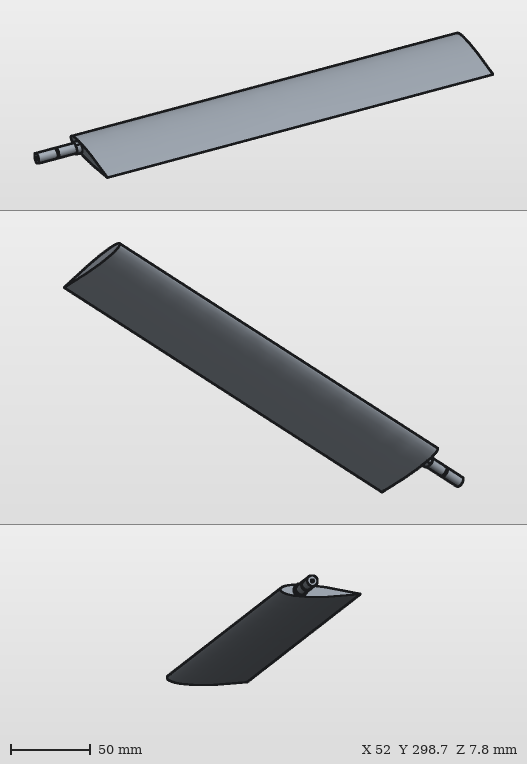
import cadquery as cq
import math

overall_length = 298.7
shaft_length = 30.0
blade_length = overall_length - shaft_length
chord = 52.0
blade_thickness = 7.8
profile_steps = 16

shaft_x = 12.5
shaft_diameter = 7.0
collar_diameter = 8.0
collar_length = 3.5
groove_start = 15.8
groove_width = 1.0
groove_depth = 0.3
centre_hole_diameter = 1.8
centre_hole_depth = 3.0


def half_thickness(fraction):
    """Half thickness of a NACA four-digit section, which leaves the trailing edge slightly blunt."""
    return 5 * blade_thickness * (
        0.2969 * math.sqrt(fraction)
        - 0.1260 * fraction
        - 0.3516 * fraction**2
        + 0.2843 * fraction**3
        - 0.1015 * fraction**4
    )


def cylinder_along_y(diameter, start, length):
    """Cylinder on the shaft axis, running from start toward +Y."""
    return cq.Workplane("XZ", origin=(shaft_x, start, 0)).circle(diameter / 2).extrude(-length)


def make_blade():
    fractions = [(step / profile_steps) ** 2 for step in range(profile_steps + 1)]
    upper = [(chord * fraction, half_thickness(fraction)) for fraction in fractions]
    lower = [(x, -z) for x, z in upper]
    outline = upper[::-1] + lower[1:]
    return cq.Workplane("XZ").spline(outline).close().extrude(-blade_length)


def make_collar():
    """Collar with flats above and below, level with the round shaft."""
    collar = cylinder_along_y(collar_diameter, -collar_length, collar_length)
    between_flats = cq.Workplane("XY", origin=(shaft_x, -collar_length / 2, 0)).box(
        collar_diameter, collar_length, shaft_diameter
    )
    return collar.intersect(between_flats)


def make_groove():
    start = -groove_start - groove_width
    core_diameter = shaft_diameter - 2 * groove_depth
    outer = cylinder_along_y(shaft_diameter, start, groove_width)
    return outer.cut(cylinder_along_y(core_diameter, start, groove_width))


def make_shaft():
    rod = cylinder_along_y(shaft_diameter, -shaft_length, shaft_length)
    centre_hole = cylinder_along_y(centre_hole_diameter, -shaft_length, centre_hole_depth)
    return rod.union(make_collar()).cut(make_groove()).cut(centre_hole)


blade = make_blade()
shaft = make_shaft()
result = cq.Compound.makeCompound([blade.val(), shaft.val()])